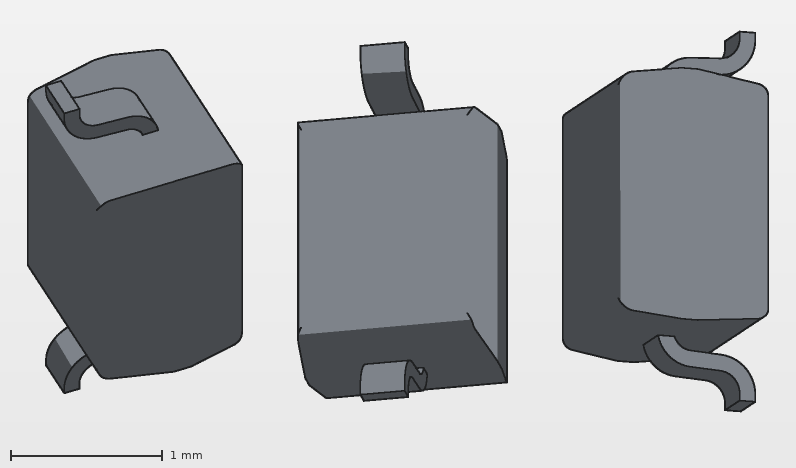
import cadquery as cq
import math

body_width = 1.3
body_height = 1.7
back_depth = 0.47
front_depth = 0.58
draft_angle = 7.0
side_band = 0.132
end_band = 0.112
side_back_fillet = 0.05
side_front_fillet = 0.038
end_fillet = 0.1

overall_height = 2.5
lead_width = 0.3
lead_thickness = 0.11
lead_front = 0.63
root_radius = 0.185
foot_radius = 0.198
root_center_y = -0.188
root_center_z = 0.808
shank_slope = 3.0


def drafted_prism(plane, axis, width, band, back_fillet, front_fillet, length):
    """Prism with walls drafted both ways from a straight band and rounded front and back edges."""
    half = width / 2
    draft = math.tan(math.radians(draft_angle))
    back_half = half - (back_depth - band / 2) * draft
    front_half = half - (front_depth - band / 2) * draft
    right_side = [
        (front_half, -front_depth),
        (half, -band / 2),
        (half, band / 2),
        (back_half, back_depth),
    ]
    left_side = [(-x, y) for x, y in reversed(right_side)]
    prism = cq.Workplane(plane).polyline(right_side + left_side).close().extrude(length / 2, both=True)
    prism = prism.faces(">Y").edges(f"|{axis}").fillet(back_fillet)
    return prism.faces("<Y").edges(f"|{axis}").fillet(front_fillet)


def make_body():
    """Intersection of the outline across X with the outline across Z."""
    across_x = drafted_prism("XY", "Z", body_width, side_band, side_back_fillet, side_front_fillet, body_height)
    across_z = drafted_prism("ZY", "X", body_height, end_band, end_fillet, end_fillet, body_width)
    return across_x.intersect(across_z)


def make_upper_lead():
    """Strip swept along an S-bend, starting inside the body and ending in an upright foot."""
    slope = math.radians(shank_slope)
    foot_center_y = -lead_front + lead_thickness / 2 + foot_radius
    center_gap_y = root_center_y - foot_center_y
    center_gap_z = (root_radius + foot_radius + center_gap_y * math.sin(slope)) / math.cos(slope)
    foot_center_z = root_center_z + center_gap_z

    def root_point(angle):
        return (
            root_center_y + root_radius * math.cos(angle),
            root_center_z + root_radius * math.sin(angle),
        )

    def foot_point(angle):
        return (
            foot_center_y - foot_radius * math.cos(angle),
            foot_center_z - foot_radius * math.sin(angle),
        )

    bend_end = math.pi / 2 - slope
    path = (
        cq.Workplane("YZ")
        .moveTo(*root_point(0))
        .threePointArc(root_point(bend_end / 2), root_point(bend_end))
        .lineTo(*foot_point(bend_end))
        .threePointArc(foot_point(bend_end / 2), foot_point(0))
        .lineTo(foot_center_y - foot_radius, overall_height / 2)
    )
    start_y, start_z = root_point(0)
    section = cq.Workplane("XY", origin=(0, start_y, start_z)).rect(lead_width, lead_thickness)
    return section.sweep(path)


upper_lead = make_upper_lead()
lower_lead = upper_lead.mirror("XY")
result = make_body().union(upper_lead).union(lower_lead)